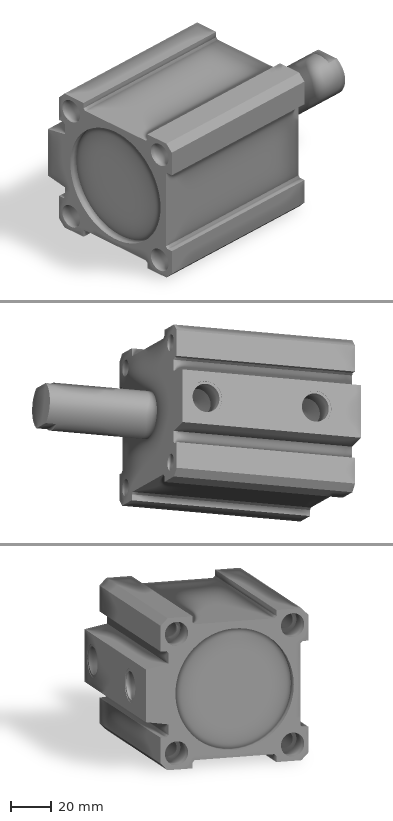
import cadquery as cq
import math


total_length = 153.4
housing_length = 95.9
body_width = 77.9
half_width = body_width / 2

groove_depth = 4.1
groove_half_width = 22.1
groove_corner = 1.0
post_chamfer = 3.7
floor_offset = half_width - groove_depth

rail_reach = 46.8
rail_tip_half_height = 13.5
rail_root_half_height = 15.5

bolt_spacing = 61.2
bolt_diameter = 8.5
bolt_head_diameter = 12.3
bolt_head_depth = 12.3

recess_diameter = 62.4
recess_depth = 4.5

port_positions = (24.4, 83.1)
port_diameter = 14.4
port_depth = 12.3
port_tip_angle = 118.0
port_seat_diameter = 17.0
port_seat_depth = 0.23

rod_diameter = 24.1
rod_length = total_length - housing_length
flat_length = 5.8
flat_distance = 20.5


def extrude_along_y(sketch, length):
    """Extrude a closed XZ sketch from Y = 0 towards +Y."""
    return sketch.extrude(-length)


def make_square_body():
    box = extrude_along_y(cq.Workplane("XZ").rect(body_width, body_width), housing_length)
    return box.edges("|Y").chamfer(post_chamfer)


def make_groove():
    """Groove cutter for the +Z side."""
    outline = [
        (-groove_half_width, half_width),
        (-groove_half_width, floor_offset + groove_corner),
        (-groove_half_width + groove_corner, floor_offset),
        (groove_half_width - groove_corner, floor_offset),
        (groove_half_width, floor_offset + groove_corner),
        (groove_half_width, half_width),
    ]
    return extrude_along_y(cq.Workplane("XZ").polyline(outline).close(), housing_length)


def make_rail():
    outline = [
        (-floor_offset, -rail_root_half_height),
        (-rail_reach, -rail_tip_half_height),
        (-rail_reach, rail_tip_half_height),
        (-floor_offset, rail_root_half_height),
    ]
    return extrude_along_y(cq.Workplane("XZ").polyline(outline).close(), housing_length)


def cut_bolt_holes(body):
    corners = cq.Workplane("XZ").rect(bolt_spacing, bolt_spacing, forConstruction=True).vertices()
    through_holes = extrude_along_y(corners.circle(bolt_diameter / 2), housing_length)
    head_pockets = extrude_along_y(corners.circle(bolt_head_diameter / 2), bolt_head_depth)
    return body.cut(through_holes).cut(head_pockets)


def make_port(y):
    """Drilled port with a conical tip and a shallow flat seat, entering the rail face."""
    radius = port_diameter / 2
    seat_radius = port_seat_diameter / 2
    tip_length = radius / math.tan(math.radians(port_tip_angle / 2))
    half_section = [
        (0, 0),
        (0, seat_radius),
        (port_seat_depth, seat_radius),
        (port_seat_depth, radius),
        (port_depth, radius),
        (port_depth + tip_length, 0),
    ]
    port = cq.Workplane("XY").polyline(half_section).close().revolve(360, (0, 0), (1, 0))
    return port.translate((-rail_reach, y, 0))


def make_housing():
    body = make_square_body()
    for angle in (0, 90, 180, 270):
        body = body.cut(make_groove().rotate((0, 0, 0), (0, 1, 0), angle))
    body = body.union(make_rail())
    body = cut_bolt_holes(body)
    body = body.cut(extrude_along_y(cq.Workplane("XZ").circle(recess_diameter / 2), recess_depth))
    for y in port_positions:
        body = body.cut(make_port(y))
    return body


def make_rod():
    """Rod standing on the far end face, with two flats at its tip."""
    rod = extrude_along_y(cq.Workplane("XZ").circle(rod_diameter / 2), rod_length)
    tip_outline = cq.Workplane("XZ", origin=(0, rod_length - flat_length, 0))
    tip_blank = extrude_along_y(tip_outline.rect(rod_diameter, rod_diameter), flat_length)
    tip_core = extrude_along_y(tip_outline.rect(rod_diameter, flat_distance), flat_length)
    rod = rod.cut(tip_blank.cut(tip_core))
    return rod.translate((0, housing_length, 0))


housing = make_housing()
rod = make_rod()

result = cq.Compound.makeCompound([housing.val(), rod.val()])